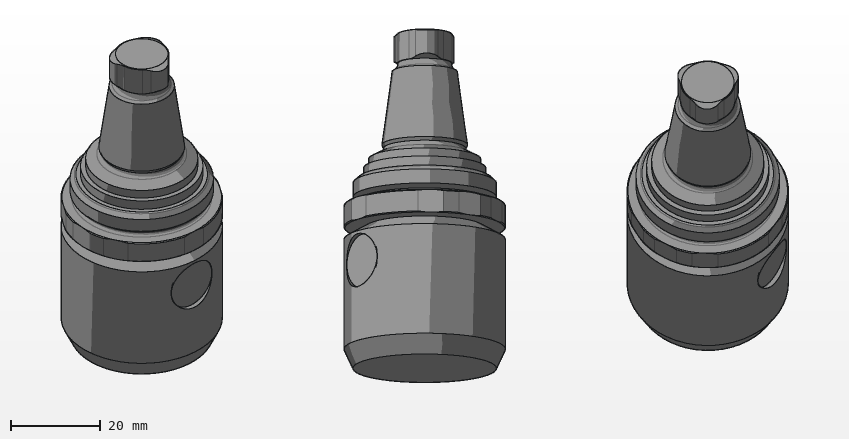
import cadquery as cq
import math

total_height = 76
body_radius = 36.0 / 2
body_end_radius = 32.0 / 2
body_chamfer_height = 4.3
shoulder_start = 29.25
shoulder_slope = math.tan(math.radians(30))

recess_radius = 12.0 / 2
recess_height = 22.6
recess_floor = 16.9

nut_bottom = 31.9
nut_top = 37.1
nut_chamfer = 0.2
nut_flat_distance = 17.8
nut_flat_angles = [0, 60, 90, 120, 180, 240, 270, 300]

groove_radius = 15.0
groove_foot_radius = 15.65
groove_flare_top = 37.8
groove_top = 38
collar_radius = 32.0 / 2
collar_bottom = 38.9
collar_top = 42.1
collar_rim_radius = 30.1 / 2
collar_rim = 43.0
collar_face_radius = 14.7
step_bottom = 43.25
lower_step_radius = 27.3 / 2
lower_step_top = 45.5
upper_step_radius = 25.0 / 2
upper_step_top = 47.6
taper_foot_radius = 10.0
taper_foot = 48.9
taper_groove_radius = 9.2
taper_groove = 50.0
taper_bottom_radius = 9.6
taper_bottom = 50.8
taper_top_radius = 7.3
taper_top = 67.4
taper_rim_radius = 6.6
taper_rim = 67.9

core_radius = 6.1
neck_radius = 6.0
head_bottom = 69.3
lobe_count = 3
lobe_offset = 4.1
lobe_radius = 3.2
lobe_tip_radius = lobe_offset + lobe_radius
lobe_blend_radius = 8.35
head_top_radius = 5.85
head_top_chamfer = 0.5
head_bottom_chamfer = 0.9


def revolve(points):
    """Revolve an (r, z) outline around the Z axis, closing it on the axis."""
    outline = [(0, points[0][1])] + points + [(0, points[-1][1])]
    return cq.Workplane("XZ").polyline(outline).close().revolve(360, (0, 0), (0, 1))


def polar(radius, angle):
    return (radius * math.cos(angle), radius * math.sin(angle))


def make_body():
    shoulder_radius = body_radius - (nut_bottom - shoulder_start) / shoulder_slope
    body = revolve([
        (body_end_radius, 0),
        (body_radius, body_chamfer_height),
        (body_radius, shoulder_start),
        (shoulder_radius, nut_bottom),
    ])
    recess = (
        cq.Workplane("YZ").center(0, recess_height).circle(recess_radius)
        .extrude(body_radius).translate((recess_floor, 0, 0))
    )
    return body.cut(recess).cut(recess.mirror("YZ"))


def make_nut():
    height = nut_top - nut_bottom
    nut = cq.Workplane("XY").workplane(offset=nut_bottom).circle(body_radius).extrude(height)
    nut = nut.faces("<Z or >Z").chamfer(nut_chamfer)
    flat_cutter = (
        cq.Workplane("XY").box(body_radius, body_radius, height, centered=(False, True, False))
        .translate((nut_flat_distance, 0, nut_bottom))
    )
    for angle in nut_flat_angles:
        nut = nut.cut(flat_cutter.rotate((0, 0, 0), (0, 0, 1), angle))
    return nut


def flare_middle(foot, top):
    """Return the middle of a concave arc that starts at foot and ends upright at top."""
    width = foot[0] - top[0]
    height = top[1] - foot[1]
    radius = (width**2 + height**2) / (2 * width)
    half_sweep = math.atan2(width, height)
    return (
        top[0] + radius * (1 - math.cos(half_sweep)),
        top[1] - radius * math.sin(half_sweep),
    )


def make_stem():
    groove_flare_foot = (groove_foot_radius, nut_top)
    groove_flare_end = (groove_radius, groove_flare_top)
    taper_flare_foot = (taper_foot_radius, taper_foot)
    taper_flare_end = (taper_groove_radius, taper_groove)
    neck_foot = (taper_rim_radius, taper_rim)
    neck_end = (neck_radius, head_bottom)
    return (
        cq.Workplane("XZ").moveTo(0, nut_top)
        .lineTo(*groove_flare_foot)
        .threePointArc(flare_middle(groove_flare_foot, groove_flare_end), groove_flare_end)
        .lineTo(groove_radius, groove_top)
        .lineTo(collar_radius, collar_bottom)
        .lineTo(collar_radius, collar_top)
        .lineTo(collar_rim_radius, collar_rim)
        .lineTo(collar_face_radius, step_bottom)
        .lineTo(lower_step_radius, step_bottom)
        .lineTo(lower_step_radius, lower_step_top)
        .lineTo(upper_step_radius, lower_step_top)
        .lineTo(upper_step_radius, upper_step_top)
        .lineTo(*taper_flare_foot)
        .threePointArc(flare_middle(taper_flare_foot, taper_flare_end), taper_flare_end)
        .lineTo(taper_bottom_radius, taper_bottom)
        .lineTo(taper_top_radius, taper_top)
        .lineTo(*neck_foot)
        .threePointArc(flare_middle(neck_foot, neck_end), neck_end)
        .lineTo(0, head_bottom)
        .close()
        .revolve(360, (0, 0), (0, 1))
    )


def make_head():
    blend_distance = core_radius + lobe_blend_radius
    lobe_distance = lobe_radius + lobe_blend_radius
    blend_angle = math.acos(
        (blend_distance**2 + lobe_offset**2 - lobe_distance**2) / (2 * blend_distance * lobe_offset)
    )
    center_x, center_y = polar(blend_distance, blend_angle)
    lobe_angle = math.atan2(center_y, center_x - lobe_offset)
    lobe_x, lobe_y = polar(lobe_radius, lobe_angle)
    lobe_end = (lobe_offset + lobe_x, lobe_y)
    middle_x, middle_y = polar(lobe_blend_radius, math.pi + (blend_angle + lobe_angle) / 2)
    blend_middle = (center_x + middle_x, center_y + middle_y)
    core_start = polar(core_radius, blend_angle)

    pitch = 2 * math.pi / lobe_count

    def place(point, index, side=1):
        """Rotate a point of the first lobe to another lobe; side -1 mirrors it first."""
        angle = math.atan2(side * point[1], point[0]) + index * pitch
        return polar(math.hypot(*point), angle)

    profile = cq.Workplane("XY").workplane(offset=head_bottom).moveTo(*place(lobe_end, 0, -1))
    for index in range(lobe_count):
        profile = (
            profile
            .threePointArc(place((lobe_tip_radius, 0), index), place(lobe_end, index))
            .threePointArc(place(blend_middle, index), place(core_start, index))
            .threePointArc(polar(core_radius, (index + 0.5) * pitch), place(core_start, index + 1, -1))
            .threePointArc(place(blend_middle, index + 1, -1), place(lobe_end, index + 1, -1))
        )
    head = profile.close().extrude(total_height - head_bottom)
    envelope = revolve([
        (neck_radius, head_bottom),
        (lobe_tip_radius, head_bottom + head_bottom_chamfer),
        (lobe_tip_radius, total_height - head_top_chamfer),
        (head_top_radius, total_height),
    ])
    return head.intersect(envelope)


result = make_body().union(make_nut()).union(make_stem()).union(make_head())